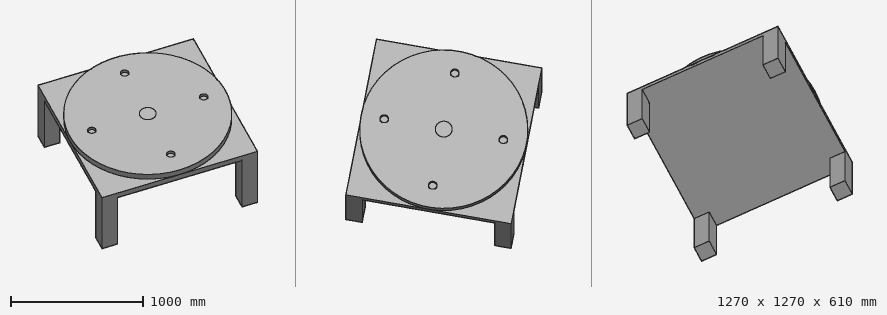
import cadquery as cq

table_side = 1270.0
table_height = 559.0
slab_thickness = 51.0
leg_side = 127.0
disc_diameter = table_side
disc_thickness = 51.0
pivot_diameter = 127.0
disc_hole_diameter = 64.0
disc_hole_depth = 25.0
disc_hole_circle_radius = 457.0
disc_hole_count = 4

leg_height = table_height - slab_thickness
leg_spacing = table_side - leg_side


def make_table():
    """Square slab on four corner legs, with a central pivot for the disc."""
    slab = (
        cq.Workplane("XY", origin=(0, 0, leg_height))
        .rect(table_side, table_side)
        .extrude(slab_thickness)
    )
    legs = (
        cq.Workplane("XY")
        .rect(leg_spacing, leg_spacing, forConstruction=True)
        .vertices()
        .rect(leg_side, leg_side)
        .extrude(leg_height)
    )
    pivot = (
        cq.Workplane("XY", origin=(0, 0, table_height))
        .circle(pivot_diameter / 2)
        .extrude(disc_thickness)
    )
    return slab.union(legs).union(pivot)


def make_disc():
    """Turntable disc with a bore for the pivot and a ring of blind holes in its upper face."""
    blank = (
        cq.Workplane("XY", origin=(0, 0, table_height))
        .circle(disc_diameter / 2)
        .circle(pivot_diameter / 2)
        .extrude(disc_thickness)
    )
    holes = (
        cq.Workplane("XY", origin=(0, 0, table_height + disc_thickness))
        .polarArray(disc_hole_circle_radius, 0, 360, disc_hole_count)
        .circle(disc_hole_diameter / 2)
        .extrude(-disc_hole_depth)
    )
    return blank.cut(holes)


table = make_table()
disc = make_disc()

result = cq.Compound.makeCompound([table.val(), disc.val()])